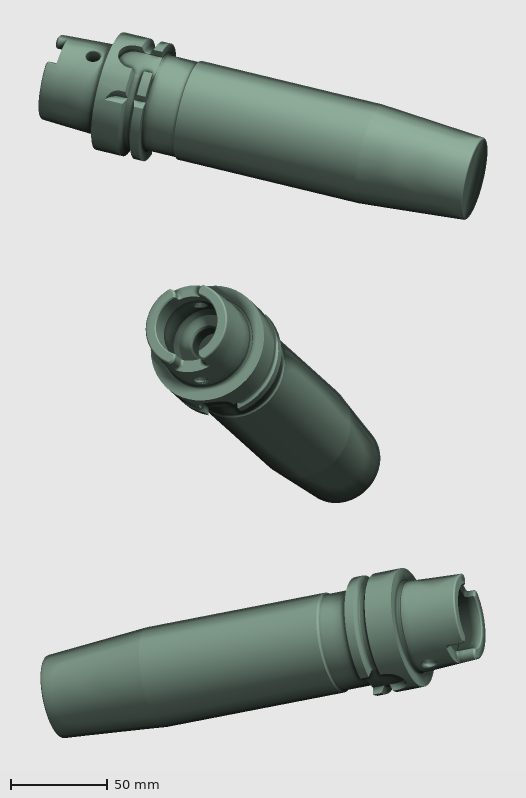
import cadquery as cq
import math


SHANK_LENGTH = 32.0
SHANK_END_RADIUS = 22.65
SHANK_ROOT_RADIUS = 24.15
SHANK_END_FILLET = 1.0
SHANK_RELIEF_LENGTH = 2.6
SHANK_RELIEF_DEPTH = 0.4
SHANK_RELIEF_RUN_OUT = 0.7
SHANK_ROOT_FILLET = 1.3
FLANGE_RELIEF_DEPTH = 0.2

FLANGE_RADIUS = 31.5
FLANGE_LENGTH = 26.0
GROOVE_CENTRE_X = 18.0
GROOVE_FLOOR_RADIUS = 27.5
GROOVE_FLOOR_WIDTH = 2.8
GROOVE_FLANK_ANGLE = 25.0
GROOVE_FLOOR_FILLET = 0.8

NECK_RADIUS = 25.5
NECK_FILLET = 1.0
BODY_START_X = 42.85
BODY_RADIUS = 26.5
BODY_CHAMFER_LENGTH = 0.9
BODY_STEP_FILLET = 0.7
TAPER_START_X = 143.0
NOSE_X = 200.0
NOSE_RADIUS = 22.0
NOSE_FILLET = 1.0

BORE_RADIUS = 16.9
BORE_MOUTH_CHAMFER = 0.6
BORE_LAND_LENGTH = 12.4
BORE_RELIEF_DEPTH = 1.0
BORE_FLOOR_X = 0.0
BORE_FLOOR_CHAMFER = 1.4
THREAD_RADIUS = 8.6
THREAD_CHAMFER = 1.0
THREAD_DEPTH = 10.0

KEYWAY_HALF_WIDTH = 6.27
KEYWAY_ROUND_CENTRE_Y = 9.9
KEYWAY_ROUND_CENTRE_Z = 17.1
KEYWAY_TOP_DEPTH = 5.6
KEYWAY_BOTTOM_DEPTH = 10.0
KEYWAY_FLOOR_FILLET = 1.4
KEYWAY_MOUTH_CHAMFER = 1.0

CROSS_HOLE_X = -9.3
CROSS_HOLE_DIAMETER = 7.6
CROSS_HOLE_CHAMFER = 0.6

SLOT_END_CENTRE_X = 12.9
SLOT_FLOOR_Z = 26.0
TOP_SLOT_WIDTH = 16.0
BOTTOM_SLOT_WIDTH = 18.0
NOTCH_WALL_Y = -19.8
NOTCH_FLOOR_Z = 20.0
NOTCH_END_RADIUS = 8.0
NOTCH_END_CENTRE_X = 12.3

CLEAR = 40.0


def round_edge(body, x, radius):
    """Fillet the circular edge that lies at x on the turned body."""
    search = 0.05
    edge_centre = cq.selectors.BoxSelector((x - search, -search, -search), (x + search, search, search))
    return body.edges(edge_centre).fillet(radius)


def turned_body():
    """Outer shape: shank, flange, neck, body and nose revolved about X."""
    groove_depth = FLANGE_RADIUS - GROOVE_FLOOR_RADIUS
    floor_half = GROOVE_FLOOR_WIDTH / 2
    groove_half = floor_half + groove_depth * math.tan(math.radians(GROOVE_FLANK_ANGLE))

    undercut_radius = SHANK_ROOT_RADIUS - SHANK_RELIEF_DEPTH
    undercut_floor_x = SHANK_RELIEF_RUN_OUT - SHANK_RELIEF_LENGTH
    root_end_radius = undercut_radius + SHANK_ROOT_FILLET
    root_start_x = FLANGE_RELIEF_DEPTH - SHANK_ROOT_FILLET

    corner_to_arc = 1 - math.sqrt(0.5)
    root_inset = SHANK_ROOT_FILLET * corner_to_arc
    neck_inset = NECK_FILLET * corner_to_arc

    outline = (
        cq.Workplane("XY")
        .moveTo(-SHANK_LENGTH, 0)
        .lineTo(-SHANK_LENGTH, SHANK_END_RADIUS)
        .lineTo(-SHANK_RELIEF_LENGTH, SHANK_ROOT_RADIUS)
        .lineTo(undercut_floor_x, undercut_radius)
        .lineTo(root_start_x, undercut_radius)
        .threePointArc(
            (FLANGE_RELIEF_DEPTH - root_inset, undercut_radius + root_inset),
            (FLANGE_RELIEF_DEPTH, root_end_radius),
        )
        .lineTo(0, root_end_radius + FLANGE_RELIEF_DEPTH)
        .lineTo(0, FLANGE_RADIUS)
        .lineTo(GROOVE_CENTRE_X - groove_half, FLANGE_RADIUS)
        .lineTo(GROOVE_CENTRE_X - floor_half, GROOVE_FLOOR_RADIUS)
        .lineTo(GROOVE_CENTRE_X + floor_half, GROOVE_FLOOR_RADIUS)
        .lineTo(GROOVE_CENTRE_X + groove_half, FLANGE_RADIUS)
        .lineTo(FLANGE_LENGTH, FLANGE_RADIUS)
        .lineTo(FLANGE_LENGTH, NECK_RADIUS + NECK_FILLET)
        .threePointArc(
            (FLANGE_LENGTH + neck_inset, NECK_RADIUS + neck_inset),
            (FLANGE_LENGTH + NECK_FILLET, NECK_RADIUS),
        )
        .lineTo(BODY_START_X, NECK_RADIUS)
        .lineTo(BODY_START_X + BODY_CHAMFER_LENGTH, BODY_RADIUS)
        .lineTo(TAPER_START_X, BODY_RADIUS)
        .lineTo(NOSE_X, NOSE_RADIUS)
        .lineTo(NOSE_X, 0)
        .close()
    )
    body = outline.revolve(360, (0, 0, 0), (1, 0, 0))
    body = round_edge(body, -SHANK_LENGTH, SHANK_END_FILLET)
    for side in (-1, 1):
        body = round_edge(body, GROOVE_CENTRE_X + side * floor_half, GROOVE_FLOOR_FILLET)
    body = round_edge(body, BODY_START_X, BODY_STEP_FILLET)
    return round_edge(body, NOSE_X, NOSE_FILLET)


def bore_cutter():
    """Stepped clamping bore with a blind threaded hole in its floor."""
    mouth_x = -SHANK_LENGTH
    relief_x = mouth_x + BORE_LAND_LENGTH
    relief_radius = BORE_RADIUS + BORE_RELIEF_DEPTH
    outline = (
        cq.Workplane("XY")
        .moveTo(mouth_x, 0)
        .lineTo(mouth_x, BORE_RADIUS + BORE_MOUTH_CHAMFER)
        .lineTo(mouth_x + BORE_MOUTH_CHAMFER, BORE_RADIUS)
        .lineTo(relief_x, BORE_RADIUS)
        .lineTo(relief_x + BORE_RELIEF_DEPTH, relief_radius)
        .lineTo(BORE_FLOOR_X - BORE_RELIEF_DEPTH - BORE_FLOOR_CHAMFER, relief_radius)
        .lineTo(BORE_FLOOR_X, BORE_RADIUS - BORE_FLOOR_CHAMFER)
        .lineTo(BORE_FLOOR_X, THREAD_RADIUS + THREAD_CHAMFER)
        .lineTo(BORE_FLOOR_X + THREAD_CHAMFER, THREAD_RADIUS)
        .lineTo(BORE_FLOOR_X + THREAD_DEPTH, THREAD_RADIUS)
        .lineTo(BORE_FLOOR_X + THREAD_DEPTH, 0)
        .close()
    )
    return outline.revolve(360, (0, 0, 0), (1, 0, 0))


def keyway_section(x, growth):
    """Keyway section wire at x: straight walls that round outwards, widened by growth."""
    centre_y = KEYWAY_ROUND_CENTRE_Y
    centre_z = KEYWAY_ROUND_CENTRE_Z
    half_width = KEYWAY_HALF_WIDTH + growth
    radius = centre_y - half_width
    mid_y = centre_y - radius * math.sqrt(0.5)
    mid_z = centre_z + radius * math.sqrt(0.5)
    top_z = centre_z + radius
    return (
        cq.Workplane("YZ", origin=(x, 0, 0))
        .moveTo(-half_width, 0)
        .lineTo(half_width, 0)
        .lineTo(half_width, centre_z)
        .threePointArc((mid_y, mid_z), (centre_y, top_z))
        .lineTo(CLEAR, top_z)
        .lineTo(CLEAR, CLEAR)
        .lineTo(-CLEAR, CLEAR)
        .lineTo(-CLEAR, top_z)
        .lineTo(-centre_y, top_z)
        .threePointArc((-mid_y, mid_z), (-half_width, centre_z))
        .close()
    )


def keyway_cutter(depth):
    """Keyway on the +Z side with a filleted floor and a chamfered mouth."""
    mouth_x = -SHANK_LENGTH
    slot = keyway_section(mouth_x, 0).extrude(depth)
    slot = slot.faces(">X").edges().fillet(KEYWAY_FLOOR_FILLET)
    wide_section = keyway_section(mouth_x, KEYWAY_MOUTH_CHAMFER).val()
    narrow_section = keyway_section(mouth_x + KEYWAY_MOUTH_CHAMFER, 0).val()
    mouth = cq.Solid.makeLoft([wide_section, narrow_section], True)
    return slot.union(cq.Workplane(obj=mouth))


def drive_slot_cutter(width):
    """Flat-floored slot on the +Z side, round at its -X end, open towards the neck."""
    radius = width / 2
    open_end_x = FLANGE_LENGTH + NECK_FILLET
    return (
        cq.Workplane("XY", origin=(0, 0, SLOT_FLOOR_Z))
        .moveTo(SLOT_END_CENTRE_X, radius)
        .threePointArc((SLOT_END_CENTRE_X - radius, 0), (SLOT_END_CENTRE_X, -radius))
        .lineTo(open_end_x, -radius)
        .lineTo(open_end_x, radius)
        .close()
        .extrude(CLEAR)
    )


def notch_cutter():
    """Corner notch on the -Y, +Z side with a flat floor, a flat wall and a round end."""
    end_x = NOTCH_END_CENTRE_X - NOTCH_END_RADIUS
    centre_y = NOTCH_WALL_Y - NOTCH_END_RADIUS
    arc_shift = NOTCH_END_RADIUS * math.sqrt(0.5)
    return (
        cq.Workplane("XY", origin=(0, 0, NOTCH_FLOOR_Z))
        .moveTo(FLANGE_LENGTH, NOTCH_WALL_Y)
        .lineTo(NOTCH_END_CENTRE_X, NOTCH_WALL_Y)
        .threePointArc((NOTCH_END_CENTRE_X - arc_shift, centre_y + arc_shift), (end_x, centre_y))
        .lineTo(end_x, -CLEAR)
        .lineTo(FLANGE_LENGTH, -CLEAR)
        .close()
        .extrude(CLEAR)
    )


def cross_hole_cutter():
    """Radial hole along Z through both shank walls, countersunk from outside."""
    cone_slope = (SHANK_ROOT_RADIUS - SHANK_END_RADIUS) / (SHANK_LENGTH - SHANK_RELIEF_LENGTH)
    surface_z = SHANK_ROOT_RADIUS + (CROSS_HOLE_X + SHANK_RELIEF_LENGTH) * cone_slope
    radius = CROSS_HOLE_DIAMETER / 2
    upper_hole = (
        cq.Workplane("XZ", origin=(CROSS_HOLE_X, 0, 0))
        .moveTo(0, 0)
        .lineTo(radius, 0)
        .lineTo(radius, surface_z - CROSS_HOLE_CHAMFER)
        .lineTo(radius + CROSS_HOLE_CHAMFER, surface_z)
        .lineTo(radius + CROSS_HOLE_CHAMFER, CLEAR)
        .lineTo(0, CLEAR)
        .close()
        .revolve(360, (0, 0, 0), (0, 1, 0))
    )
    return upper_hole.union(turned_over(upper_hole))


def turned_over(cutter):
    """The same cutter moved from the +Z side to the -Z side."""
    return cutter.rotate((0, 0, 0), (1, 0, 0), 180)


result = (
    turned_body()
    .cut(bore_cutter())
    .cut(keyway_cutter(KEYWAY_TOP_DEPTH))
    .cut(turned_over(keyway_cutter(KEYWAY_BOTTOM_DEPTH)))
    .cut(cross_hole_cutter())
    .cut(drive_slot_cutter(TOP_SLOT_WIDTH))
    .cut(turned_over(drive_slot_cutter(BOTTOM_SLOT_WIDTH)))
    .cut(notch_cutter())
)